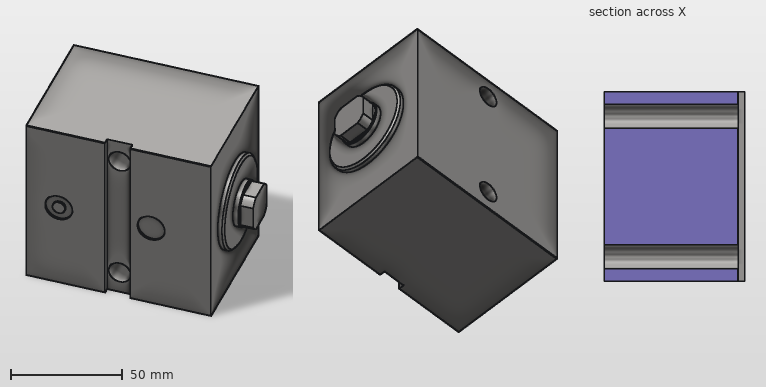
import cadquery as cq

BLOCK_LENGTH = 88.0
BLOCK_WIDTH = 63.0
BLOCK_HEIGHT = 85.0
EDGE_CHAMFER = 0.3
FRONT_Y = -BLOCK_WIDTH / 2

SLOT_WIDTH = 12.0
SLOT_DEPTH = 3.0
SLOT_X = 43.5
BOLT_HOLE_DIAMETER = 10.5
BOLT_HOLE_SPACING = 63.0

RECESS_DIAMETER = 13.0
RECESS_DEPTH = 1.0
REAR_RECESS_X = 15.5
RECESS_SPACING = 44.0
BOSS_DIAMETER = 6.0

RING_DIAMETER = 45.0
RING_LENGTH = 3.0
RING_CHAMFER = 1.0

ROD_DIAMETER = 22.0
ROD_CHAMFER = 0.5
SHANK_LENGTH = 6.0
ROD_LENGTH = 12.0
ACROSS_FLATS = 18.0
CORNER_DIAMETER = ROD_DIAMETER - 2 * ROD_CHAMFER


def front_disc(x, z, diameter, depth):
    """Cylinder running from the front face into the block."""
    return cq.Workplane("XZ", origin=(x, FRONT_Y, z)).circle(diameter / 2).extrude(-depth)


def rod_end_plane(offset=0.0):
    """Plane facing +X, at a distance beyond the rod-end face of the block."""
    return cq.Workplane("YZ", origin=(BLOCK_LENGTH + offset, 0, 0))


def make_housing():
    block = cq.Workplane("XY").box(BLOCK_LENGTH, BLOCK_WIDTH, BLOCK_HEIGHT)
    block = block.translate((BLOCK_LENGTH / 2, 0, 0))
    block = block.edges("|X").chamfer(EDGE_CHAMFER)

    slot = cq.Workplane("XY").box(SLOT_WIDTH, 2 * SLOT_DEPTH, BLOCK_HEIGHT)
    block = block.cut(slot.translate((SLOT_X, FRONT_Y, 0)))

    for side in (-1, 1):
        hole_z = side * BOLT_HOLE_SPACING / 2
        block = block.cut(front_disc(SLOT_X, hole_z, BOLT_HOLE_DIAMETER, BLOCK_WIDTH))

    for recess_x in (REAR_RECESS_X, REAR_RECESS_X + RECESS_SPACING):
        block = block.cut(front_disc(recess_x, 0, RECESS_DIAMETER, RECESS_DEPTH))
    return block.union(front_disc(REAR_RECESS_X, 0, BOSS_DIAMETER, RECESS_DEPTH))


def make_gland_ring():
    ring = rod_end_plane().circle(RING_DIAMETER / 2).extrude(RING_LENGTH)
    ring = ring.faces(">X").chamfer(RING_CHAMFER)
    bore = rod_end_plane().circle(ROD_DIAMETER / 2).extrude(RING_LENGTH)
    return ring.cut(bore)


def make_piston_rod():
    shank = rod_end_plane().circle(ROD_DIAMETER / 2).extrude(SHANK_LENGTH)
    shank = shank.faces(">X").chamfer(ROD_CHAMFER)

    end_length = ROD_LENGTH - SHANK_LENGTH
    square = rod_end_plane(SHANK_LENGTH).rect(ACROSS_FLATS, ACROSS_FLATS).extrude(end_length)
    corners = rod_end_plane(SHANK_LENGTH).circle(CORNER_DIAMETER / 2).extrude(end_length)
    return shank.union(square.intersect(corners))


housing = make_housing()
gland_ring = make_gland_ring()
piston_rod = make_piston_rod()

result = cq.Compound.makeCompound([housing.val(), gland_ring.val(), piston_rod.val()])